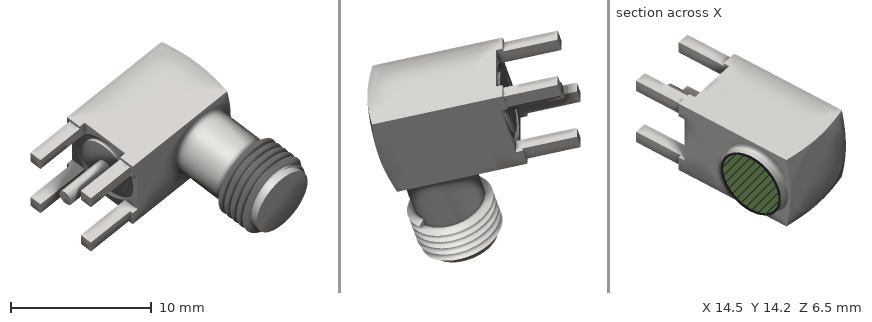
import cadquery as cq
import math


body_width = 6.5
body_back = 3.0
body_front = -7.0
crown_radius = 3.2
crown_angle = 15.0

leg_size = 1.0
leg_inner = 2.0
leg_length = 4.0
relief_depth = 0.5
groove_outer_radius = 2.825
groove_inner_radius = 2.24
groove_depth = 0.3
pin_radius = 0.6
pin_length = 4.0

barrel_radius = 2.6
barrel_length = 8.0
neck_fillet = 0.3
thread_radius = 3.15
thread_pitch = 0.6
thread_root_width = 0.56
thread_start = 7.625
thread_start_turn = -0.125
thread_full_turns = 5
run_out_turns = 0.35
run_out_advance = 0.075
run_out_tip_scale = 0.04
thread_embed = 0.03
strand_steps_per_turn = 24

half_width = body_width / 2
relief_floor = body_front + relief_depth


def front_plane(y):
    """Sketch plane at height y whose normal points along -Y."""
    return cq.Workplane("XZ", origin=(0, y, 0))


def make_body():
    body_length = body_back - body_front
    block = front_plane(body_back).rect(body_width, body_width).extrude(body_length)
    outer_radius = body_width
    drop = (outer_radius - crown_radius) * math.tan(math.radians(crown_angle))
    crown = (
        cq.Workplane("XY")
        .moveTo(0, body_front)
        .lineTo(outer_radius, body_front)
        .lineTo(outer_radius, body_back - drop)
        .lineTo(crown_radius, body_back)
        .lineTo(0, body_back)
        .close()
        .revolve(360, (0, 0), (0, 1))
    )
    return block.intersect(crown)


def cut_front_face(body):
    slot_width = 2 * leg_inner
    for width, height in ((body_width, slot_width), (slot_width, body_width)):
        body = body.cut(front_plane(relief_floor).rect(width, height).extrude(relief_depth))
    ring = (
        front_plane(relief_floor + groove_depth)
        .circle(groove_outer_radius)
        .circle(groove_inner_radius)
        .extrude(groove_depth)
    )
    return body.cut(ring)


def make_legs():
    spacing = 2 * leg_inner + leg_size
    corners = front_plane(body_front).rarray(spacing, spacing, 2, 2)
    return corners.rect(leg_size, leg_size).extrude(leg_length)


def make_pin():
    return front_plane(relief_floor).circle(pin_radius).extrude(pin_length)


def make_barrel():
    neck_radius = barrel_radius + neck_fillet
    neck_end = half_width + neck_fillet
    barrel_end = half_width + barrel_length
    mid_offset = neck_fillet * (1 - math.sqrt(0.5))
    return (
        cq.Workplane("XY")
        .moveTo(0, 0)
        .lineTo(0, neck_radius)
        .lineTo(half_width, neck_radius)
        .threePointArc((half_width + mid_offset, barrel_radius + mid_offset), (neck_end, barrel_radius))
        .lineTo(barrel_end, barrel_radius)
        .lineTo(barrel_end, 0)
        .close()
        .revolve(360, (0, 0), (1, 0))
    )


def helix_strand(start_turn, end_turn, start_point, end_point):
    """Helical edge between two (x, radius) points; turn zero is at +Y and turns run toward +Z."""
    steps = math.ceil((end_turn - start_turn) * strand_steps_per_turn)
    points = []
    for step in range(steps + 1):
        fraction = step / steps
        x = start_point[0] + (end_point[0] - start_point[0]) * fraction
        radius = start_point[1] + (end_point[1] - start_point[1]) * fraction
        angle = 2 * math.pi * (start_turn + (end_turn - start_turn) * fraction)
        points.append(cq.Vector(x, radius * math.cos(angle), radius * math.sin(angle)))
    return cq.Edge.makeSpline(points)


def ridge_profile(x, scale=1.0):
    """Triangle of (x, radius) points: first root, crest, second root."""
    root_radius = barrel_radius - thread_embed
    height = thread_radius - root_radius
    root_half = thread_root_width / 2 * height / (thread_radius - barrel_radius)
    return [
        (x - root_half * scale, root_radius),
        (x, root_radius + height * scale),
        (x + root_half * scale, root_radius),
    ]


def thread_ridge(start_turn, end_turn, start_profile, end_profile):
    """Solid ridge between two triangular profiles, its flanks ruled between helical strands."""
    strands = [
        helix_strand(start_turn, end_turn, start_point, end_point)
        for start_point, end_point in zip(start_profile, end_profile)
    ]
    faces = []
    for index, strand in enumerate(strands):
        faces.append(cq.Face.makeRuledSurface(strands[index - 1], strand))
    start_corners = [strand.startPoint() for strand in strands]
    end_corners = [strand.endPoint() for strand in strands]
    for corners in (start_corners, end_corners):
        faces.append(cq.Face.makeFromWires(cq.Wire.makePolygon(corners, close=True)))
    return cq.Workplane(cq.Solid.makeSolid(cq.Shell.makeShell(faces)).fix())


def add_thread(barrel):
    for index in range(thread_full_turns):
        start_turn = thread_start_turn + index
        start_x = thread_start + index * thread_pitch
        end_profile = ridge_profile(start_x + thread_pitch)
        barrel = barrel.union(thread_ridge(start_turn, start_turn + 1, ridge_profile(start_x), end_profile))
    fade_turn = thread_start_turn + thread_full_turns
    fade_x = thread_start + thread_full_turns * thread_pitch
    tip = ridge_profile(fade_x + run_out_advance, run_out_tip_scale)
    return barrel.union(thread_ridge(fade_turn, fade_turn + run_out_turns, ridge_profile(fade_x), tip))


result = cut_front_face(make_body())
result = result.union(make_legs()).union(make_pin())
result = result.union(add_thread(make_barrel()))